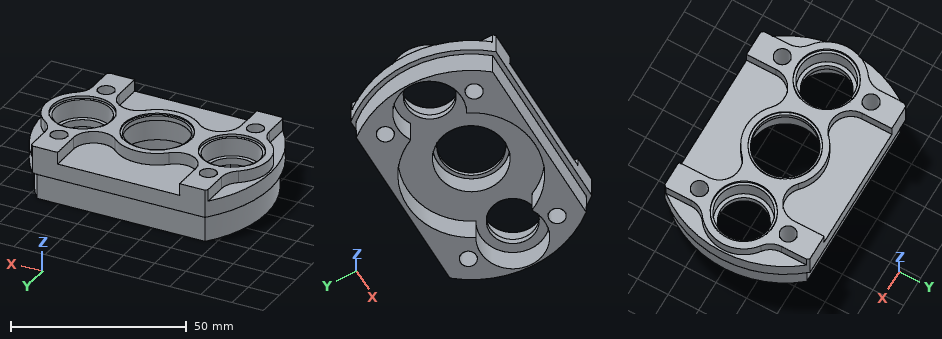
import cadquery as cq
import math

total_height = 17.75
skirt_height = 8.85
deck_height = 13.95

flange_radius = 36.5
flange_width = 47.6
skirt_inset = 1.45

side_spacing = 23.95

arm_half_width = 4.4
center_boss_radius = 12.7
side_boss_radius = 11.9
blend_radius = 6.5

center_bore_radius = 9.85
center_recess_radius = 10.6
center_recess_depth = 0.45
center_seat_radius = 11.0
center_lip = 1.9
side_bore_radius = 7.5
side_seat_radius = 8.8
side_seat_depth = 6.65
side_recess_radius = 9.6
side_recess_depth = 0.8

center_chamber_radius = 20.9
side_chamber_radius = 10.5

bolt_hole_radius = 2.55
bolt_offset_y = 14.5


def cylinder(x, y, radius, bottom, top):
    """Vertical cylinder between two heights."""
    return cq.Workplane("XY", origin=(x, y, bottom)).circle(radius).extrude(top - bottom)


def double_d(radius, width, bottom, top):
    """Disc with its two Y sides cut flat."""
    flats = cq.Workplane("XY", origin=(0, 0, bottom)).rect(2 * radius, width).extrude(top - bottom)
    return cylinder(0, 0, radius, bottom, top).intersect(flats)


def polar(center, radius, angle):
    """Point on a circle."""
    return (center[0] + radius * math.cos(angle), center[1] + radius * math.sin(angle))


def pad_quarter():
    """Quarter of the raised pad, in +X +Y: bosses blended tangentially into an arm."""
    side_center = (side_spacing, 0)
    arm_inner = side_spacing - arm_half_width
    arm_outer = side_spacing + arm_half_width
    half_width = flange_width / 2

    inner_x = arm_inner - blend_radius
    inner_angle = math.acos(inner_x / (center_boss_radius + blend_radius))
    inner_blend = polar((0, 0), center_boss_radius + blend_radius, inner_angle)
    outer_angle = math.acos((arm_half_width + blend_radius) / (side_boss_radius + blend_radius))
    outer_blend = polar(side_center, side_boss_radius + blend_radius, outer_angle)

    return (
        cq.Workplane("XY", origin=(0, 0, deck_height))
        .moveTo(0, 0)
        .lineTo(0, center_boss_radius)
        .threePointArc(
            polar((0, 0), center_boss_radius, (math.pi / 2 + inner_angle) / 2),
            polar((0, 0), center_boss_radius, inner_angle),
        )
        .threePointArc(
            polar(inner_blend, blend_radius, (inner_angle - math.pi) / 2),
            (arm_inner, inner_blend[1]),
        )
        .lineTo(arm_inner, half_width)
        .lineTo(arm_outer, half_width)
        .lineTo(arm_outer, outer_blend[1])
        .threePointArc(
            polar(outer_blend, blend_radius, math.pi + outer_angle / 2),
            polar(side_center, side_boss_radius, outer_angle),
        )
        .threePointArc(
            polar(side_center, side_boss_radius, outer_angle / 2),
            (side_spacing + side_boss_radius, 0),
        )
        .close()
        .extrude(total_height - deck_height)
    )


def raised_pad():
    """Full pad, trimmed to the flange outline."""
    quarter = pad_quarter()
    half = quarter.union(quarter.mirror("YZ"))
    pad = half.union(half.mirror("XZ"))
    return pad.intersect(double_d(flange_radius, flange_width, deck_height, total_height))


skirt = double_d(flange_radius - skirt_inset, flange_width - 2 * skirt_inset, 0, skirt_height)
flange = double_d(flange_radius, flange_width, skirt_height, deck_height)
body = skirt.union(flange).union(raised_pad())

body = body.cut(cylinder(0, 0, center_chamber_radius, 0, skirt_height))
body = body.cut(cylinder(0, 0, center_seat_radius, skirt_height, total_height - center_lip))
body = body.cut(cylinder(0, 0, center_bore_radius, skirt_height, total_height))
body = body.cut(
    cylinder(0, 0, center_recess_radius, total_height - center_recess_depth, total_height)
)

for x in (-side_spacing, side_spacing):
    body = body.cut(cylinder(x, 0, side_chamber_radius, 0, skirt_height))
    body = body.cut(cylinder(x, 0, side_bore_radius, skirt_height, total_height))
    body = body.cut(cylinder(x, 0, side_seat_radius, total_height - side_seat_depth, total_height))
    body = body.cut(
        cylinder(x, 0, side_recess_radius, total_height - side_recess_depth, total_height)
    )
    for y in (-bolt_offset_y, bolt_offset_y):
        body = body.cut(cylinder(x, y, bolt_hole_radius, 0, total_height))

result = body